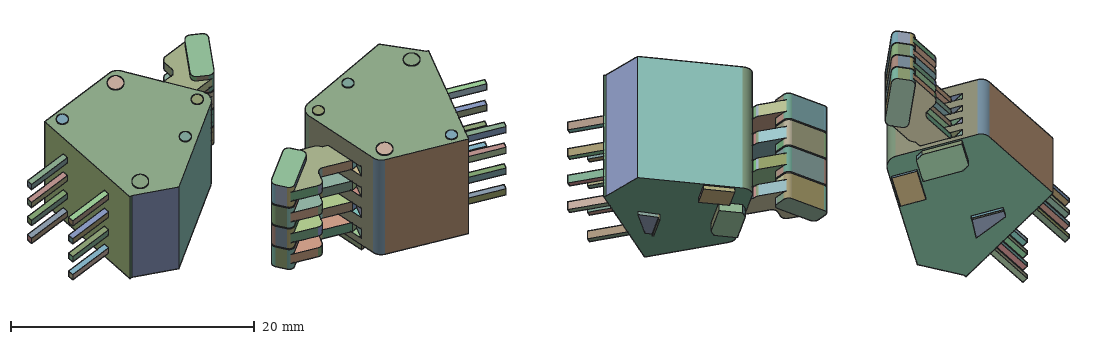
import cadquery as cq
import math


TILT = 30.0
COS_TILT = math.cos(math.radians(TILT))
SIN_TILT = math.sin(math.radians(TILT))
TAN_TILT = math.tan(math.radians(TILT))

HOUSING_HEIGHT = 11.57
PIN_FACE_WIDTH = 10.35
NOSE_X = 12.33
NOSE_Y = 3.64
LEFT_WALL_TOP = 7.8
HOUSING_RADIUS = 1.0

STUD_HEIGHT = 0.1
SMALL_STUD = 1.0
LARGE_STUD = 1.4
STUDS = [
    (0.84, 1.2, SMALL_STUD),
    (6.87, 10.71, SMALL_STUD),
    (8.97, 7.45, SMALL_STUD),
    (1.1, 6.9, LARGE_STUD),
    (9.8, 1.65, LARGE_STUD),
]

ROW_COUNT = 4
ROW_PITCH = 2.53
FIRST_ROW_Z = 1.35
ROW_HEIGHTS = [FIRST_ROW_Z + row * ROW_PITCH for row in range(ROW_COUNT)]

PIN_WIDTH = 0.51
PIN_HEIGHT = 0.75
PIN_LENGTH = 4.0
PIN_COLUMNS = [2.51, 7.5]

CAP_LENGTH = 4.25
CAP_WIDTH = 1.98
CAP_HEIGHT = 2.41
CAP_DROP = 0.05
CAP_TURN = -35.0
CAP_X = 2.92
CAP_Y = 14.6
LEVER_RADIUS = 0.5
ARM_THICKNESS = 1.1
ARM_LEFT = 2.58
ARM_RIGHT = 4.78
ARM_STEP_Y = 12.26
ARM_TAPER_LENGTH = 0.43
ARM_TAPER_STEP = ARM_TAPER_LENGTH * TAN_TILT
RIGHT_TAPER_Y = 11.05
SLOT_FLOOR_Y = 8.75

BLOCK_X = 4.09
BLOCK_Y = 8.67
BLOCK_LENGTH = 4.0
BLOCK_WIDTH = 2.33
BLOCK_SPAN_Y = 3.41
BLOCK_DEPTH = 0.8

PAD_X = 7.52
PAD_Y = 7.25
PAD_LENGTH = 2.19
PAD_WIDTH = 2.62
PAD_DEPTH = 0.37

BAR_X = 3.82
BAR_Y = 1.96
BAR_LENGTH = 2.74
BAR_WIDTH = 0.15
BAR_DEPTH = 0.5
WEDGE_SIDE = 0.6
WEDGE_RUN = 3.07
WEDGE_RISE = 0.43
WEDGE_DEPTH = 0.3


def along_tilt(x, y, along, across):
    """Point reached from (x, y) by moving along and across the tilted direction."""
    return (
        x + along * COS_TILT - across * SIN_TILT,
        y + along * SIN_TILT + across * COS_TILT,
    )


def round_edge(solid, corner, radius):
    """Round the vertical edge of a prism nearest to a plan corner."""
    selector = cq.selectors.NearestToPointSelector((corner[0], corner[1], solid.val().Center().z))
    return solid.edges("|Z").edges(selector).fillet(radius)


def lever_face_y(x):
    """Height of the sloping lever face in plan, without its rounded ends."""
    return LEFT_WALL_TOP + x * TAN_TILT


def make_housing():
    """Five-sided block with a square corner at the top and two rounded edges."""
    peak_x = (NOSE_Y + NOSE_X / TAN_TILT - LEFT_WALL_TOP) / (TAN_TILT + 1 / TAN_TILT)
    peak = (peak_x, lever_face_y(peak_x))
    left_top = (0, LEFT_WALL_TOP)
    chamfer_y = NOSE_Y - (NOSE_X - PIN_FACE_WIDTH) / TAN_TILT
    outline = [
        (0, 0),
        (PIN_FACE_WIDTH, 0),
        (PIN_FACE_WIDTH, chamfer_y),
        (NOSE_X, NOSE_Y),
        peak,
        left_top,
    ]
    housing = cq.Workplane("XY").polyline(outline).close().extrude(HOUSING_HEIGHT)
    for corner in (peak, left_top):
        housing = round_edge(housing, corner, HOUSING_RADIUS)
    return housing


def make_stud(x, y, diameter):
    return (
        cq.Workplane("XY", origin=(x, y, HOUSING_HEIGHT))
        .circle(diameter / 2)
        .extrude(STUD_HEIGHT)
    )


def make_pin(x, z):
    return cq.Workplane("XZ", origin=(x, 0, z)).rect(PIN_WIDTH, PIN_HEIGHT).extrude(PIN_LENGTH)


def make_cap(z):
    return (
        cq.Workplane("XY")
        .box(CAP_LENGTH, CAP_WIDTH, CAP_HEIGHT)
        .edges("|Z")
        .fillet(LEVER_RADIUS)
        .rotate((0, 0, 0), (0, 0, 1), CAP_TURN)
        .translate((CAP_X, CAP_Y, z - CAP_DROP))
    )


def make_arm(z):
    """Flat arm, as wide as the cap at its outer end and tapered where it enters the slot."""
    turn = math.radians(CAP_TURN)
    round_x = CAP_LENGTH / 2 - LEVER_RADIUS
    round_y = CAP_WIDTH / 2 - LEVER_RADIUS
    reach_x = round_x * math.cos(turn) - round_y * math.sin(turn) + LEVER_RADIUS
    reach_y = round_x * math.sin(turn) + round_y * math.cos(turn)
    left = CAP_X - reach_x
    right = CAP_X + reach_x
    outer_corner = (left, ARM_STEP_Y)
    inner_corner = (ARM_LEFT, ARM_STEP_Y)
    shoulder = (right, RIGHT_TAPER_Y + (right - ARM_RIGHT) / TAN_TILT)
    outline = [
        (left, CAP_Y - reach_y),
        outer_corner,
        inner_corner,
        (ARM_LEFT, SLOT_FLOOR_Y + ARM_TAPER_LENGTH),
        (ARM_LEFT + ARM_TAPER_STEP, SLOT_FLOOR_Y),
        (ARM_RIGHT, SLOT_FLOOR_Y),
        (ARM_RIGHT, RIGHT_TAPER_Y),
        shoulder,
        (right, CAP_Y + reach_y),
    ]
    arm = (
        cq.Workplane("XY", origin=(0, 0, z - ARM_THICKNESS / 2))
        .polyline(outline)
        .close()
        .extrude(ARM_THICKNESS)
    )
    for corner in (outer_corner, inner_corner, shoulder):
        arm = round_edge(arm, corner, LEVER_RADIUS)
    return arm


def make_slot(z):
    """Opening in the lever face on the left of the arm."""
    floor_left = (SLOT_FLOOR_Y - LEFT_WALL_TOP) / TAN_TILT
    outline = [
        (floor_left, SLOT_FLOOR_Y),
        (ARM_LEFT + ARM_TAPER_STEP, SLOT_FLOOR_Y),
        (ARM_LEFT, SLOT_FLOOR_Y + ARM_TAPER_LENGTH),
        (ARM_LEFT, lever_face_y(ARM_LEFT)),
    ]
    return (
        cq.Workplane("XY", origin=(0, 0, z - ARM_THICKNESS / 2))
        .polyline(outline)
        .close()
        .extrude(ARM_THICKNESS)
    )


def hang_below(outline, depth):
    """Prism hanging from the underside of the housing."""
    return cq.Workplane("XY").polyline(outline).close().extrude(-depth)


def make_tilted_rectangle(x, y, length, width, depth):
    """Tilted prism under the housing, placed by its corner at (x, y)."""
    outline = [
        (x, y),
        along_tilt(x, y, length, 0),
        along_tilt(x, y, length, width),
        along_tilt(x, y, 0, width),
    ]
    return hang_below(outline, depth)


def make_block():
    corner = along_tilt(BLOCK_X, BLOCK_Y, -BLOCK_LENGTH / 2, -BLOCK_WIDTH / 2)
    block = make_tilted_rectangle(*corner, BLOCK_LENGTH, BLOCK_WIDTH, BLOCK_DEPTH)
    span_x = BLOCK_LENGTH + BLOCK_WIDTH
    span = cq.Workplane("XY").box(span_x, BLOCK_SPAN_Y, 2 * BLOCK_DEPTH)
    return block.intersect(span.translate((BLOCK_X, BLOCK_Y, 0)))


def make_tongue():
    bar = make_tilted_rectangle(BAR_X, BAR_Y, BAR_LENGTH, BAR_WIDTH, BAR_DEPTH)
    front = along_tilt(BAR_X, BAR_Y, 0, -WEDGE_SIDE)
    outline = [
        (BAR_X, BAR_Y),
        front,
        (front[0] + WEDGE_RUN, front[1] + WEDGE_RISE),
        along_tilt(BAR_X, BAR_Y, BAR_LENGTH, 0),
    ]
    return bar.union(hang_below(outline, WEDGE_DEPTH))


result = make_housing()

for stud in STUDS:
    result = result.union(make_stud(*stud))

for row_z in ROW_HEIGHTS:
    result = result.cut(make_slot(row_z))
    result = result.union(make_arm(row_z).union(make_cap(row_z)))
    for column_x in PIN_COLUMNS:
        result = result.union(make_pin(column_x, row_z))

pad = make_tilted_rectangle(PAD_X, PAD_Y, PAD_LENGTH, PAD_WIDTH, PAD_DEPTH)
for underside_part in (make_block(), pad, make_tongue()):
    result = result.union(underside_part)